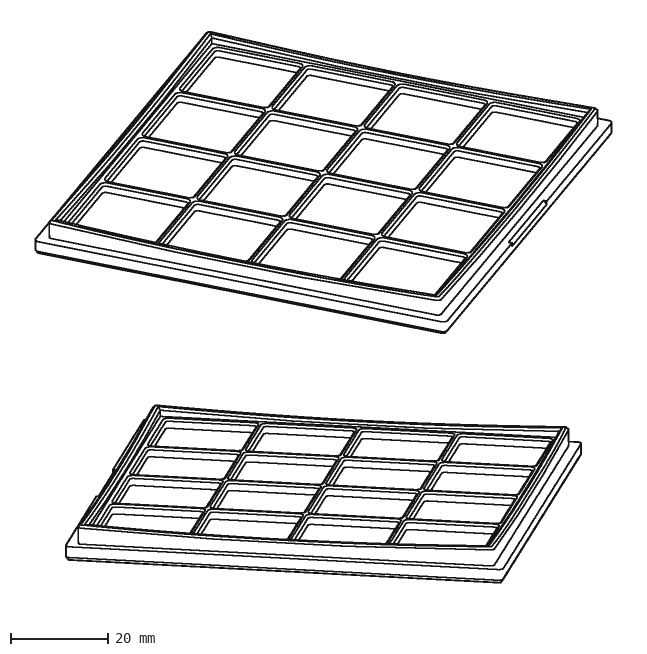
import cadquery as cq
import math

flange_side = 91.5
flange_height = 3.0
flange_corner_radius = 1.0
base_chamfer_height = 0.7
base_chamfer_inset = 0.5

pry_bevel_length = 19.0
pry_bevel_size = 0.75

overall_height = 6.974
rim_inset = 2.25
rim_thickness = 1.8
rim_corner_radius = 0.8
rim_chamfer = 0.55
dish_radius = 950.0
rim_side = flange_side - 2 * rim_inset
tray_side = rim_side - 2 * rim_thickness
crest_corner_radius = rim_corner_radius - rim_chamfer
crest_corner_reach = math.sqrt(2) * (rim_side / 2 - rim_corner_radius) + crest_corner_radius
dish_centre_z = overall_height + math.sqrt(dish_radius**2 - crest_corner_reach**2)

tray_floor_z = 5.0
cell_floor_z = flange_height
cell_count = 4
cell_side = 20.0
rib_width = 0.5
cell_pitch = cell_side + rib_width
cell_corner_radius = 1.25
cell_chamfer = 0.5


def square_prism(side, bottom, top):
    return cq.Workplane("XY").workplane(offset=bottom).rect(side, side).extrude(top - bottom)


def pry_bevel_cutter():
    """Triangular bar that bevels the flange's top edge."""
    edge_x = flange_side / 2
    profile = cq.Workplane("XZ").polyline(
        [
            (edge_x - pry_bevel_size, flange_height),
            (edge_x, flange_height),
            (edge_x, flange_height - pry_bevel_size),
        ]
    )
    return profile.close().extrude(pry_bevel_length / 2, both=True)


def make_flange():
    flange = square_prism(flange_side, 0, flange_height).edges("|Z").fillet(flange_corner_radius)
    flange = flange.faces("<Z").edges().chamfer(base_chamfer_height, base_chamfer_inset)
    return flange.cut(pry_bevel_cutter())


def make_rim():
    blank_top = overall_height + rim_thickness
    rim = square_prism(rim_side, flange_height, blank_top).edges("|Z").fillet(rim_corner_radius)
    rim = rim.cut(square_prism(tray_side, tray_floor_z, blank_top))
    rim = rim.cut(cq.Workplane("XY").sphere(dish_radius).translate((0, 0, dish_centre_z)))
    return rim.faces("%SPHERE").edges().chamfer(rim_chamfer)


def make_cell():
    """Volume of one cell: a chamfered mouth above a straight-walled well."""
    well_side = cell_side - 2 * cell_chamfer
    well = square_prism(well_side, cell_floor_z, tray_floor_z)
    well = well.edges("|Z").fillet(cell_corner_radius - cell_chamfer)
    mouth = square_prism(cell_side, tray_floor_z - cell_chamfer, overall_height)
    mouth = mouth.edges("|Z").fillet(cell_corner_radius)
    return well.union(mouth.faces("<Z").edges().chamfer(cell_chamfer))


def cut_cells(tray):
    cell = make_cell()
    first_centre = -cell_pitch * (cell_count - 1) / 2
    for column in range(cell_count):
        for row in range(cell_count):
            position = (first_centre + column * cell_pitch, first_centre + row * cell_pitch, 0)
            tray = tray.cut(cell.translate(position))
    return tray


result = cut_cells(make_flange().union(make_rim()))